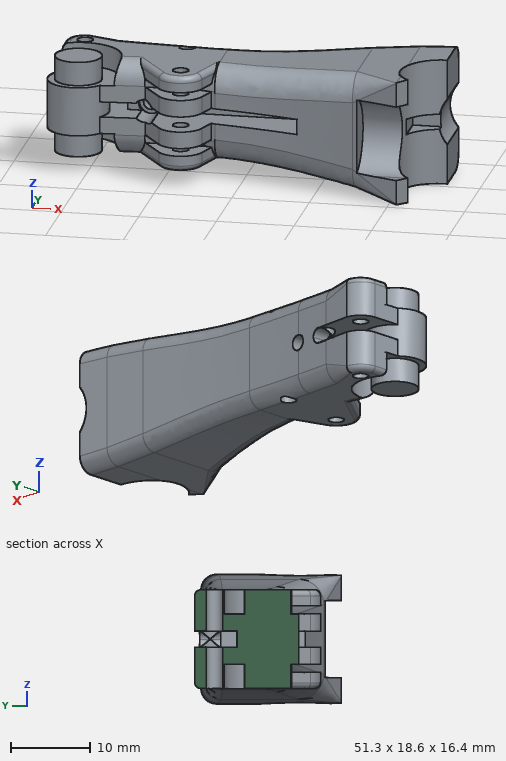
import cadquery as cq
import math


pin_radius = 6.0 / 2
barrel_radius = 3.95
barrel_half_height = 3.2
recess_radius = 5.5
hub_half_height = 6.25

hole_diameter = 2.0
hole_radius = hole_diameter / 2
head_hole = (-0.45, 6.7)
back_hole = (12.8, 6.1)
ear_hole = (13.9, -3.65)

head_radius = 2.5
head_start = head_hole[0]
head_left = head_start - head_radius
head_blend_end = 3.6
ear_start = 8.9
ear_end = 18.0
flare_start = 19.3
taper_start = 36.65
tip_start = 42.75
right_end = 51.25 - barrel_radius
end_half_height = 8.2

edge_fillet = 0.75
back_rounding = 2.05
front_rounding = 2.95
shaft_rounding = 3.2
sharp_rounding = 0.05

back_low_x = 24.1
back_low_y = 7.85
back_curve_left = 0.002341
back_curve_right = 0.001132
neck_front_y = -1.85
neck_slope = 0.083
shaft_front_y = -2.35
shaft_slope = 0.16
shaft_curve = 0.004878

ear_radius = 3.0
ear_gap_outer = 4.2
ear_root_left = (5.6, 3.1)
ear_root_right = (18.55, 0.9)
ear_rim_limit_y = 0.5

saddle_radius = 5.05
saddle_y = -4.1
tip_corner = (44.0, -7.9)
pocket_start = 37.25
pocket_radius = 4.85
pocket_axis_y = -7.95
saddle_groove_start = 42.65
saddle_groove_floor = 2.05
end_notch_depth = 1.1
end_notch_half_width = 2.95

slot_floor_y = 1.55
slot_swing_radius = 15.2
tendon_hole_x = 8.95
tendon_counterbore_radius = 3.0 / 2
tendon_counterbore_floor_y = 2.05
outlet_x = 5.0
outlet_depth_y = 5.95
nose_radius = 1.35

far = 30.75


def back_y(x):
    curve = back_curve_left if x < back_low_x else back_curve_right
    return back_low_y + curve * (x - back_low_x) ** 2


def front_y(x):
    if x < ear_end:
        return neck_front_y - neck_slope * (ear_start - x)
    run = x - ear_end
    return shaft_front_y - shaft_slope * run - shaft_curve * run**2


def half_height(x):
    if x < flare_start:
        return hub_half_height
    progress = (x - flare_start) / (right_end - flare_start)
    ease = (1 - math.cos(math.pi * progress)) / 2
    return hub_half_height + (end_half_height - hub_half_height) * ease


def section(x, back_round, front_round):
    """Rectangle across the body at x, with rounded back and front corners."""
    back, front, top = back_y(x), front_y(x), half_height(x)
    diagonal = 1 - math.sqrt(0.5)
    b, f = back_round, front_round
    return (
        cq.Workplane("YZ", origin=(x, 0, 0))
        .moveTo(front + f, -top)
        .lineTo(back - b, -top)
        .threePointArc((back - b * diagonal, -top + b * diagonal), (back, -top + b))
        .lineTo(back, top - b)
        .threePointArc((back - b * diagonal, top - b * diagonal), (back - b, top))
        .lineTo(front + f, top)
        .threePointArc((front + f * diagonal, top - f * diagonal), (front, top - f))
        .lineTo(front, -top + f)
        .threePointArc((front + f * diagonal, -top + f * diagonal), (front + f, -top))
        .close()
        .val()
    )


def body_run(stations, ruled):
    """Loft through (x, back rounding, front rounding) stations."""
    wires = [section(*station) for station in stations]
    return cq.Workplane(cq.Solid.makeLoft(wires, ruled))


def uniform_run(start, end, pieces, front_round):
    step = (end - start) / pieces
    stations = [(start + i * step, back_rounding, front_round) for i in range(pieces + 1)]
    return body_run(stations, False)


def cylinder_z(point, radius, half):
    return cq.Workplane("XY", origin=(*point, -half)).circle(radius).extrude(2 * half)


def cylinder_y(x, radius, start, end):
    return cq.Workplane("XZ", origin=(x, start, 0)).circle(radius).extrude(start - end)


def block(x_range, y_range, z_range):
    sizes = [high - low for low, high in (x_range, y_range, z_range)]
    corner = (x_range[0], y_range[0], z_range[0])
    return cq.Workplane("XY").box(*sizes, centered=False).translate(corner)


def head():
    """Rounded left end around the head hole."""
    x, y = head_hole
    diagonal = head_radius * math.sqrt(0.5)
    plate = (
        cq.Workplane("XY", origin=(0, 0, -hub_half_height))
        .moveTo(head_start, 0)
        .lineTo(head_left, 0)
        .lineTo(head_left, y)
        .threePointArc((x - diagonal, y + diagonal), (x, y + head_radius))
        .close()
        .extrude(2 * hub_half_height)
    )
    rim = cq.selectors.BoxSelector((head_left - 0.5, 0.5, -far), (head_start - 0.5, far, far))
    return plate.edges("|X or |Y or %CIRCLE").edges(rim).fillet(edge_fillet)


def tangent_point(point, side):
    """Where a line from point touches the ear's round end, on the given side."""
    dx, dy = point[0] - ear_hole[0], point[1] - ear_hole[1]
    angle = math.atan2(dy, dx) + side * math.acos(ear_radius / math.hypot(dx, dy))
    return (ear_hole[0] + ear_radius * math.cos(angle), ear_hole[1] + ear_radius * math.sin(angle))


def ear(bottom, top):
    left, right = ear_root_left, ear_root_right
    return (
        cq.Workplane("XY", origin=(0, 0, bottom))
        .moveTo(*left)
        .lineTo(*tangent_point(left, 1))
        .threePointArc((ear_hole[0], ear_hole[1] - ear_radius), tangent_point(right, -1))
        .lineTo(*right)
        .close()
        .extrude(top - bottom)
    )


def ears():
    """Two inner ears, and two outer ears with a rounded outer rim."""
    rim = cq.selectors.BoxSelector((0, -far, hub_half_height - 0.5), (far, ear_rim_limit_y, far))
    outer = ear(ear_gap_outer, hub_half_height).edges(rim).fillet(edge_fillet)
    inner = ear(hole_radius, barrel_half_height).intersect(
        block((ear_start, ear_end), (-far, far), (0, far))
    )
    upper = outer.union(inner)
    return upper.union(upper.mirror("XY"))


def saddle_cut():
    """Round seat across the right end, with the slanted arm tips."""
    seat = cylinder_z((right_end, saddle_y), saddle_radius, far)
    tip = (tip_start, front_y(tip_start))
    below = (
        cq.Workplane("XY", origin=(0, 0, -far))
        .polyline([tip, tip_corner, (right_end, saddle_y), (far * 2, saddle_y), (far * 2, -far)])
        .close()
        .extrude(2 * far)
    )
    groove = block(
        (saddle_groove_start, right_end), (saddle_y, saddle_groove_floor), (-hole_radius, hole_radius)
    )
    notch_radius = (end_notch_half_width**2 + end_notch_depth**2) / (2 * end_notch_depth)
    notch = cylinder_y(right_end - end_notch_depth + notch_radius, notch_radius, far, -far)
    return seat.union(below).union(groove).union(notch)


def fork_pocket():
    """Round-bottomed pocket that separates the two arms."""
    length = right_end - saddle_radius / 2 - pocket_start
    bore = (
        cq.Workplane("YZ", origin=(pocket_start, pocket_axis_y, 0)).circle(pocket_radius).extrude(length)
    )
    mouth = block(
        (pocket_start, pocket_start + length), (-far, pocket_axis_y), (-pocket_radius, pocket_radius)
    )
    return bore.union(mouth)


def central_slot():
    """Slot in the front face, ending on a swing arc about the ear hole."""
    swing = cylinder_z(ear_hole, slot_swing_radius, hole_radius)
    front = block((outlet_x, far), (-far, slot_floor_y), (-hole_radius, hole_radius))
    return swing.intersect(front)


def hinge_slot():
    """Gap around the barrel, ending on a round nose that an outlet hole pierces."""
    outlet_left = outlet_x - hole_radius
    outlet_right = outlet_x + hole_radius
    nose_x = outlet_left + nose_radius
    width = (-hole_radius, hole_radius)
    gap = block((-far, nose_x), (-far, far), width)
    nose = cylinder_z((nose_x, outlet_depth_y + nose_radius), nose_radius, hole_radius)
    pocket = block((-far, outlet_right), (-far, outlet_depth_y), width)
    outlet = cylinder_y(outlet_x, hole_radius, far, -far)
    return gap.cut(nose).union(pocket).union(outlet)


result = head()
result = result.union(
    body_run(
        [(head_start, edge_fillet, front_rounding), (head_blend_end, back_rounding, front_rounding)],
        True,
    )
)
result = result.union(uniform_run(head_blend_end, ear_start, 2, front_rounding))
result = result.union(uniform_run(ear_start, ear_end, 2, front_rounding))
ear_floor = block((ear_start, ear_end), (neck_front_y, 0), (-ear_gap_outer, ear_gap_outer))
result = result.union(ear_floor)
result = result.union(uniform_run(ear_end, taper_start, 6, shaft_rounding))
result = result.union(
    body_run(
        [(taper_start, back_rounding, shaft_rounding), (tip_start, back_rounding, sharp_rounding)],
        True,
    )
)
result = result.union(uniform_run(tip_start, right_end, 2, sharp_rounding))
result = result.union(ears())

result = result.cut(saddle_cut()).cut(fork_pocket())

result = result.cut(central_slot()).cut(hinge_slot())
for hole in (head_hole, back_hole, ear_hole):
    result = result.cut(cylinder_z(hole, hole_radius, far))
result = result.cut(cylinder_y(tendon_hole_x, hole_radius, far, -far))
result = result.cut(cylinder_y(tendon_hole_x, tendon_counterbore_radius, tendon_counterbore_floor_y, -far))

for side in (1, -1):
    recess = cq.Workplane("XY", origin=(0, 0, side * barrel_half_height)).circle(recess_radius)
    result = result.cut(recess.extrude(side * far))
result = result.union(cylinder_z((0, 0), barrel_radius, barrel_half_height))
result = result.union(cylinder_z((0, 0), pin_radius, hub_half_height))